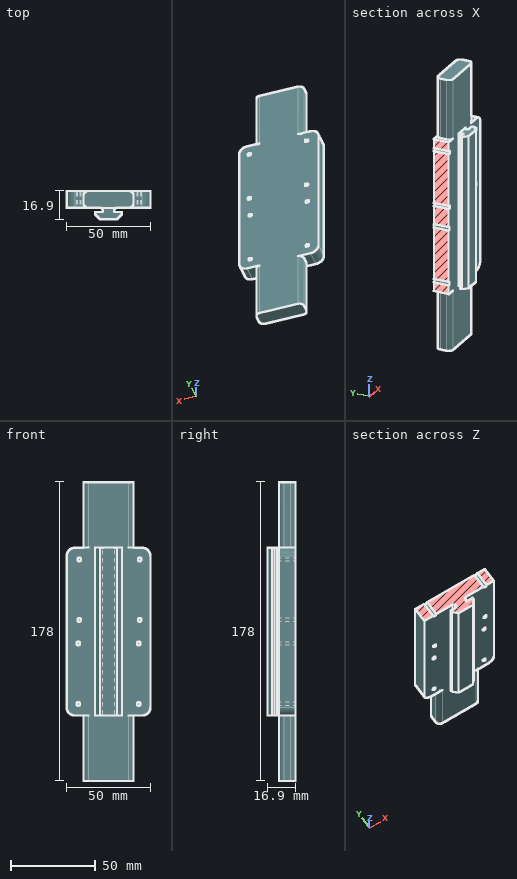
import cadquery as cq

RAIL_LENGTH = 178.0
RAIL_WIDTH = 30.0
RAIL_EDGE_RADIUS = 3.0

PLATE_WIDTH = 50.0
PLATE_LENGTH = 100.0
PLATE_CORNER_RADIUS = 5.0
BODY_THICKNESS = 10.0

TEE_HEIGHT = 6.9
TEE_NECK_HEIGHT = 2.5
TEE_NECK_WIDTH = 7.0
TEE_ROOT_CHAMFER_RISE = 1.0
TEE_ROOT_CHAMFER_RUN = 1.2
TEE_HEAD_WIDTH = 16.0
TEE_HEAD_CHAMFER = 2.9

HOLE_DIAMETER = 2.0
HOLE_PITCH = 36.0
HOLE_GROUP_OFFSET_Z = 25.0
UPPER_GROUP_SHIFT_X = 0.55

FRONT_Y = -BODY_THICKNESS / 2


def make_rail():
    """Long flat rail along Z with rounded long edges."""
    rail = cq.Workplane("XY").box(RAIL_WIDTH, BODY_THICKNESS, RAIL_LENGTH)
    return rail.edges("|Z").fillet(RAIL_EDGE_RADIUS)


def make_plate():
    """Carriage plate around the middle of the rail, with rounded corners."""
    plate = cq.Workplane("XY").box(PLATE_WIDTH, BODY_THICKNESS, PLATE_LENGTH)
    return plate.edges("|Y").fillet(PLATE_CORNER_RADIUS)


def make_tee_bar():
    """T-shaped bar as long as the plate, with a chamfered root and head."""
    neck_x = TEE_NECK_WIDTH / 2
    root_x = neck_x + TEE_ROOT_CHAMFER_RUN
    head_x = TEE_HEAD_WIDTH / 2
    root_y = FRONT_Y - TEE_ROOT_CHAMFER_RISE
    head_y = FRONT_Y - TEE_NECK_HEIGHT
    tip_y = FRONT_Y - TEE_HEIGHT
    half_outline = [
        (root_x, FRONT_Y),
        (neck_x, root_y),
        (neck_x, head_y),
        (head_x, head_y),
        (head_x, tip_y + TEE_HEAD_CHAMFER),
        (head_x - TEE_HEAD_CHAMFER, tip_y),
    ]
    mirrored_half = [(-x, y) for x, y in reversed(half_outline)]
    outline = cq.Workplane("XY").polyline(half_outline + mirrored_half).close()
    return outline.extrude(PLATE_LENGTH / 2, both=True)


def make_hole_group(center_x, center_z):
    """Four drills through the plate thickness on a square pattern."""
    pattern = (
        cq.Workplane("XZ")
        .center(center_x, center_z)
        .rect(HOLE_PITCH, HOLE_PITCH, forConstruction=True)
        .vertices()
    )
    return pattern.circle(HOLE_DIAMETER / 2).extrude(BODY_THICKNESS, both=True)


body = make_rail().union(make_plate()).union(make_tee_bar())
upper_holes = make_hole_group(UPPER_GROUP_SHIFT_X, HOLE_GROUP_OFFSET_Z)
lower_holes = make_hole_group(0, -HOLE_GROUP_OFFSET_Z)
result = body.cut(upper_holes).cut(lower_holes)